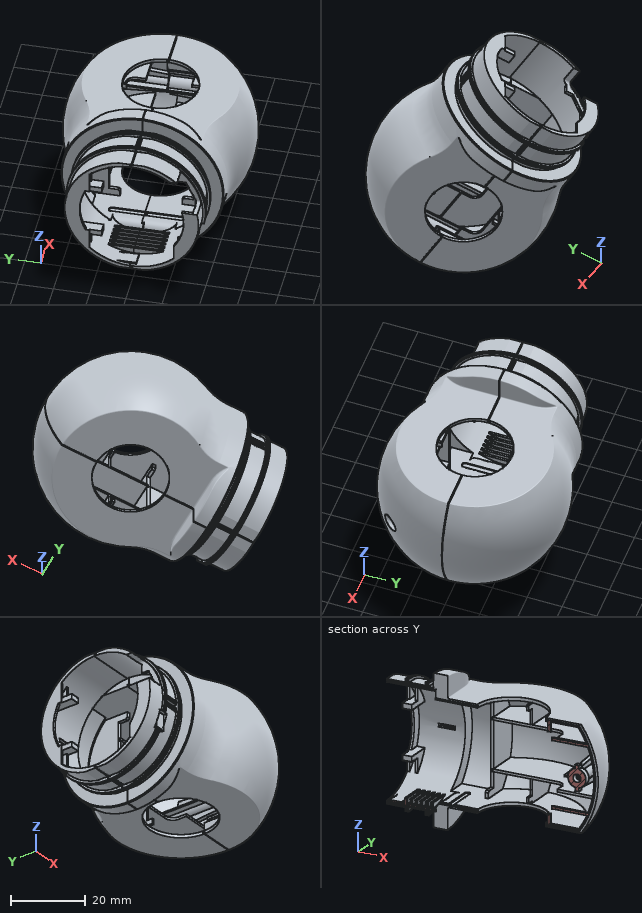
import cadquery as cq
import math

ball_x = 38.15
ball_radius = 26.5
ball_wall = 1.3
flat_half = 15.8
flat_wall = 1.05
flat_edge_fillet = 0.3
cord_hole_radius = 10.5

flange_x = 14.2
flange_radius = 22.45
flange_back_x = 18.7
flange_back_half = 9.9
flange_back_curve = 9.75
flange_back_sweep = 60.0
flange_back_fillet = 0.4
flange_front_chamfer = 0.25
neck_blend_radius = 17.45

barrel_radius = 18.5
bore_radius = 17.2
bore_end = 14.9
lip_round = 2.6
barrel_flat_half_width = 3.55
barrel_flat = math.sqrt(barrel_radius**2 - barrel_flat_half_width**2)
ring_radius = 19.2
ring_width = 1.05
ring_groove = 0.3
ring_starts = [5.6, 11.7]

part_gap = 0.2
lap = 0.5
lap_skin = 0.5

window_length = 5.3
window_low, window_high = 3.6, 13.65
window_depth_y = 10.35
window_corner = 0.8
key_groove_depth = 0.3
slot_start, slot_end = 6.65, 11.7
slot_width = 1.05
slot_louvre = 0.6
slot_groove_depth = 0.65
pad_start, pad_end = 5.0, 8.0
pad_low, pad_high = -8.9, -3.9
pad_face = math.sqrt(ring_radius**2 - pad_low**2)
pad_thick = 2.6

chord = 11.65
plate_bore = 14.35
plate_thick = 0.8
rear_plate_half = 6.7
front_plate_half = 8.8
clip_tip = 8.35
clip_thick = 1.6
clip_start, clip_end = 0.3, 3.25
inner_plate_half, inner_plate_corner_y = 9.95, 13.85
inner_plate_deep_half, inner_plate_deep_y = 4.5, 16.5
recess_x, recess_width, recess_length, recess_depth = 19.6, 1.6, 20.7, 0.3
comb_floor = 15.45
comb_start, comb_pitch, comb_count, comb_thick = 5.5, 1.55, 6, 0.65
tongue_start, tongue_end = 1.0, 4.65
tongue_front, tongue_rear = -1.1, 4.2
tongue_top, tongue_bottom = -16.7, -17.2
root = 0.3

screw_x = 58.2
screw_hole_radius = 1.1
screw_head_radius = 1.9
screw_head_floor = 14.2
front_post_radius, rear_post_radius = 2.85, 1.95
pilot_radius, pilot_end = 0.8, 9.7
front_post_end, rear_post_end = 1.55, 1.9
post_fin = 0.5
post_fin_start = 54.3
web_thick = 1.3
web_flare = 0.08
front_web_half, rear_web_half = 3.7, 3.1
shelf_low, shelf_high = 7.1, 7.9
shelf_start, shelf_step = 26.2, 48.8
shelf_near, shelf_far = 11.45, 6.35
shelf_corner = 2.6
hook_thick = 0.65
hook_tip = 9.45
hook_low, hook_high = 12.6, 14.2
bracket_inner = 8.6
bracket_low = 12.6
bulkhead_start, bulkhead_thick = 25.55, 1.0
bracket_chamfer = 0.5
band_start, band_thick = 49.15, 1.0
band_low = 11.9
strip_low, strip_high = 9.5, 10.35
strip_start = 50.45

big = 3 * ball_radius
margin = 0.05
ceiling = flat_half - flat_wall
cavity_radius = ball_radius - ball_wall


def box(x0, x1, y0, y1, z0, z1):
    size = (x1 - x0, y1 - y0, z1 - z0)
    return cq.Workplane("XY").box(*size, centered=False).translate((x0, y0, z0))


def cylinder_x(radius, x0, x1):
    return cq.Workplane("YZ", origin=(x0, 0, 0)).circle(radius).extrude(x1 - x0)


def cylinder_y(radius, x, y0, y1):
    return cq.Workplane("XZ", origin=(x, y0, 0)).circle(radius).extrude(y0 - y1)


def ball(radius):
    return cq.Workplane("XY").sphere(radius).translate((ball_x, 0, 0))


def slab(half):
    return box(-big, 2 * big, -big, big, -half, half)


def both_z(shape):
    return shape.union(shape.mirror("XY"))


def head_blank():
    """Flange, concave neck and ball as one body of revolution about X."""
    blend_z = flange_radius + neck_blend_radius
    blend_x = ball_x - math.sqrt((ball_radius + neck_blend_radius) ** 2 - blend_z**2)
    slope = math.atan2(blend_z, ball_x - blend_x)
    half_slope = (slope + math.pi / 2) / 2
    tangent = (ball_x - ball_radius * math.cos(slope), ball_radius * math.sin(slope))
    middle = (
        blend_x + neck_blend_radius * math.cos(half_slope),
        blend_z - neck_blend_radius * math.sin(half_slope),
    )
    crown_angle = slope / 2
    crown = (ball_x + ball_radius * math.sin(crown_angle), ball_radius * math.cos(crown_angle))
    return (
        cq.Workplane("XY")
        .moveTo(flange_x, 0)
        .lineTo(flange_x, flange_radius - flange_front_chamfer)
        .lineTo(flange_x + flange_front_chamfer, flange_radius)
        .lineTo(blend_x, flange_radius)
        .threePointArc(middle, tangent)
        .threePointArc(crown, (ball_x + ball_radius, 0))
        .close()
        .revolve(360, (0, 0, 0), (1, 0, 0))
    )


def flat_cutter():
    """Block that cuts the upper flat and leaves the flange standing, its back curving forward."""
    centre_x = flange_back_x - flange_back_curve
    reach = math.radians(flange_back_sweep)
    mid = (
        centre_x + flange_back_curve * math.cos(reach / 2),
        flange_back_half + flange_back_curve * math.sin(reach / 2),
    )
    end = (
        centre_x + flange_back_curve * math.cos(reach),
        flange_back_half + flange_back_curve * math.sin(reach),
    )
    cutter = (
        cq.Workplane("XY", origin=(0, 0, flat_half))
        .moveTo(flange_back_x, -flange_back_half)
        .lineTo(flange_back_x, flange_back_half)
        .threePointArc(mid, end)
        .lineTo(end[0], flange_radius)
        .lineTo(big, flange_radius)
        .lineTo(big, -flange_radius)
        .lineTo(end[0], -flange_radius)
        .lineTo(end[0], -end[1])
        .threePointArc((mid[0], -mid[1]), (flange_back_x, -flange_back_half))
        .close()
        .extrude(flat_half)
    )
    back = cq.selectors.BoxSelector((0, -big, 0), (flange_back_x + margin, big, flat_half + margin))
    arcs_and_line = cutter.faces("<Z").edges(back)
    return arcs_and_line.fillet(flange_back_fillet)


def head():
    body = head_blank().cut(both_z(flat_cutter()))
    for side in (1, -1):
        rim_point = (ball_x + math.sqrt(ball_radius**2 - flat_half**2), 0, side * flat_half)
        rim = cq.selectors.NearestToPointSelector(rim_point)
        body = body.edges(rim).fillet(flat_edge_fillet)
    return body


def sealing_ring(start):
    ring = cylinder_x(ring_radius, start, start + ring_width)
    middle = start + ring_width / 2
    groove = cylinder_x(ring_radius, middle - ring_groove / 2, middle + ring_groove / 2)
    return ring.cut(groove)


def side_slot():
    """Through slot across the barrel, with a bar and a shallow groove on either side of it."""
    half = slot_width / 2
    cutter = box(slot_start, slot_end, -big, big, -half, half)
    low = half + slot_louvre
    floor = barrel_radius - slot_groove_depth
    for y0, y1 in ((-big, -floor), (floor, big)):
        groove = box(slot_start, slot_end, y0, y1, low, low + slot_louvre)
        cutter = cutter.union(both_z(groove))
    return cutter


def key_grooves():
    half = slot_width / 2
    floor = barrel_flat - key_groove_depth
    return both_z(box(slot_start, slot_end, -half, half, floor, big))


def window():
    opening = box(-big, window_length, -big, -window_depth_y, window_low, window_high)
    return opening.edges("|Y and >X").fillet(window_corner)


def barrel():
    tube = cylinder_x(barrel_radius, 0, flange_x).intersect(slab(barrel_flat))
    for start in ring_starts:
        tube = tube.union(sealing_ring(start))
    outside_pad = box(pad_start, pad_end, -big, -pad_face, pad_low, pad_high)
    pad = box(pad_start, pad_end, -pad_face, pad_thick - pad_face, pad_low, pad_high)
    return tube.cut(outside_pad).union(pad).cut(side_slot()).cut(key_grooves())


def lip_rounding():
    """Material to remove so that the step from the bore up to the lower inner flat is rounded."""
    centre_x, centre_z = bore_end + lip_round, -ceiling - lip_round
    corner = box(bore_end, centre_x, -big, big, centre_z, -ceiling)
    rounded = cylinder_y(lip_round, centre_x, -big, big).translate((0, 0, centre_z))
    return corner.cut(rounded).intersect(cylinder_x(bore_radius, 0, flange_back_x))


def cavity(skin=0.0):
    """Inner space of barrel and ball, grown outward by the given skin."""
    bore = cylinder_x(bore_radius + skin, -big, bore_end)
    neck = cylinder_x(flange_radius - ball_wall + skin, bore_end - skin, ball_x)
    room = neck.union(ball(cavity_radius + skin)).intersect(slab(ceiling + skin))
    return bore.union(room)


def floor_recess():
    """Shallow slot across the lower inner flat, just behind the rounded step."""
    slot = cq.Workplane("XY").slot2D(recess_length, recess_width, 90).extrude(recess_depth)
    return slot.translate((recess_x, 0, -ceiling - recess_depth))


def comb_ribs():
    """Row of thin cross ribs on the floor of the bore."""
    below = box(0, flange_back_x, -big, big, -big, -comb_floor)
    ribs = cq.Workplane("XY")
    for index in range(comb_count):
        start = comb_start + index * comb_pitch
        ribs = ribs.add(cylinder_x(bore_radius + root, start, start + comb_thick).intersect(below))
    return ribs.combine()


def shell():
    hole = cq.Workplane("XY").circle(cord_hole_radius).extrude(big, both=True)
    body = head().union(barrel()).cut(cavity()).cut(hole.translate((ball_x, 0, 0)))
    return body.cut(lip_rounding()).cut(floor_recess()).union(comb_ribs())


def tongue():
    return box(tongue_start, tongue_end, tongue_front, tongue_rear, tongue_bottom, tongue_top)


def chord_plate(start, opening_half):
    """Plate that closes the bore beyond the chord on the +Y side, open in the middle."""
    end = start + plate_thick
    plate = cylinder_x(bore_radius + root, start, end).intersect(box(start, end, chord, big, -big, big))
    opening = cylinder_x(plate_bore, start, end).intersect(slab(opening_half))
    return plate.cut(opening)


def rear_clips():
    """Two inward clips at the mouth of the bore, each backed by a plate and a rib."""
    clip = box(clip_start, clip_end, clip_tip, bore_radius, rear_plate_half, rear_plate_half + clip_thick)
    clip = clip.intersect(cylinder_x(bore_radius + root, 0, clip_end))
    rib = chord_plate(clip_end - plate_thick, rear_plate_half).cut(slab(rear_plate_half))
    return chord_plate(0, rear_plate_half).union(both_z(clip)).union(rib)


def inner_plate():
    """Plate behind the window, with a six-sided opening."""
    upper = [
        (-chord, inner_plate_half),
        (-inner_plate_corner_y, inner_plate_half),
        (-inner_plate_deep_y, inner_plate_deep_half),
    ]
    lower = [(y, -z) for y, z in reversed(upper)]
    plane = cq.Workplane("YZ", origin=(window_length, 0, 0))
    opening = plane.polyline(upper + lower).close().extrude(plate_thick)
    return chord_plate(window_length, inner_plate_half).mirror("XZ").cut(opening)


def front_plates():
    mouth = chord_plate(0, front_plate_half).mirror("XZ").cut(window())
    return mouth.union(inner_plate())


def shelf():
    """Thin shelf inside the +Y half, stepping in towards the parting plane behind the hole."""
    bend = shelf_corner * (1 - math.sqrt(0.5))
    return (
        cq.Workplane("XY", origin=(0, 0, shelf_low))
        .moveTo(shelf_start, shelf_near)
        .lineTo(shelf_step - shelf_corner, shelf_near)
        .threePointArc((shelf_step - bend, shelf_near - bend), (shelf_step, shelf_near - shelf_corner))
        .lineTo(shelf_step, shelf_far)
        .lineTo(ball_x + ball_radius, shelf_far)
        .lineTo(ball_x + ball_radius, ball_radius)
        .lineTo(shelf_start, ball_radius)
        .close()
        .extrude(shelf_high - shelf_low)
    )


def hook():
    """Upright rib beside the hole with a snap hook near the ceiling, on the +Y side."""
    x0, x1 = ball_x - hook_thick / 2, ball_x + hook_thick / 2
    rib = box(x0, x1, shelf_near, ball_radius, shelf_low, flat_half)
    return rib.union(box(x0, x1, hook_tip, shelf_near, hook_low, hook_high))


def bulkhead():
    """Upper half of the cross wall at the mouth of the ball on the +Y side, with its corner block."""
    end = bulkhead_start + bulkhead_thick
    wall = box(bulkhead_start, end, chord, ball_radius, 0, flat_half)
    block = box(bulkhead_start, end, bracket_inner, chord, bracket_low, flat_half)
    return wall.union(block.edges("|X and <Y and <Z").chamfer(bracket_chamfer))


def half_ribs():
    """Shelves, hooks and bulkhead of the +Y half; the -Y half carries their mirror image."""
    return both_z(shelf().union(hook()).union(bulkhead()))


def bands():
    """Deep band under each flat and a strip nearer the middle, carried by the -Y half."""
    band = box(band_start, band_start + band_thick, -big, lap, band_low, flat_half)
    strip = box(strip_start, ball_x + ball_radius, -big, lap, strip_low, strip_high)
    return both_z(band.union(strip))


def post(radius, web_half, end, outward):
    """Screw post along Y with a web that grows taller towards the wall, outward being +1 or -1."""
    wall = outward * ball_radius
    wall_half = web_half + web_flare * abs(wall - end)
    outline = [(end, web_half), (wall, wall_half), (wall, -wall_half), (end, -web_half)]
    web_start = screw_x - web_thick / 2
    web = cq.Workplane("YZ", origin=(web_start, 0, 0)).polyline(outline).close().extrude(web_thick)
    y0, y1 = sorted((end, wall))
    fin = box(post_fin_start, screw_x, y0, y1, -post_fin / 2, post_fin / 2)
    return cylinder_y(radius, screw_x, y0, y1).union(web).union(fin)


def screw_cutter():
    hole = cylinder_y(screw_hole_radius, screw_x, -ball_radius, front_post_end)
    hole = hole.union(cylinder_y(pilot_radius, screw_x, front_post_end, pilot_end))
    return hole.union(cylinder_y(screw_head_radius, screw_x, -ball_radius, -screw_head_floor))


def front_half(case):
    """The -Y half: its inner lip reaches past the parting plane."""
    lip = case.intersect(cavity(lap_skin)).intersect(box(-big, big, -lap, lap, -big, big))
    skin = case.intersect(box(-big, big, -big, -part_gap / 2, -big, big))
    inner = half_ribs().mirror("XZ").union(bands())
    inner = inner.union(post(front_post_radius, front_web_half, front_post_end, -1))
    body = skin.union(lip).union(inner.intersect(cavity(root)))
    return body.cut(window()).union(front_plates()).cut(screw_cutter()).cut(tongue())


def rear_half(case):
    """The +Y half: recessed for the lip of the front half."""
    recess = cavity(lap_skin).intersect(box(-big, big, -lap, lap, -big, big))
    skin = case.intersect(box(-big, big, part_gap / 2, big, -big, big)).cut(recess)
    inner = half_ribs().union(post(rear_post_radius, rear_web_half, rear_post_end, 1))
    body = skin.union(inner.intersect(cavity(root)))
    return body.union(rear_clips()).cut(screw_cutter()).union(tongue())


case = shell()
front = front_half(case)
rear = rear_half(case)

result = cq.Compound.makeCompound([front.val(), rear.val()])